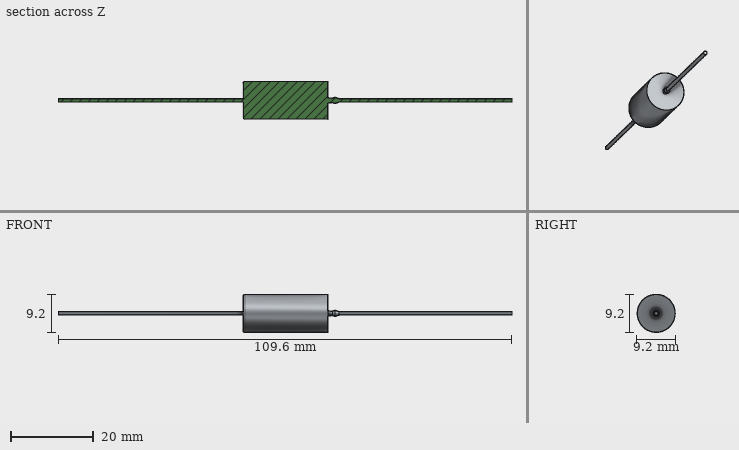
import cadquery as cq

overall_length = 109.6
lead_radius = 0.4

body_radius = 4.6
body_start = -10.2
body_end = 10.3
rim_rounding = 0.4

bead_radius = 0.8
flare_length = 0.7
taper_length = 1.0
neck_root_radius = 0.7
neck_tip_radius = 0.5
neck_length = 1.1


def make_rod(radius, start, end):
    """Cylinder along X, centred on the X axis."""
    return cq.Workplane("YZ", origin=(start, 0, 0)).circle(radius).extrude(end - start)


def make_body():
    body = make_rod(body_radius, body_start, body_end)
    return body.faces("<X").edges().fillet(rim_rounding)


def make_lead():
    return make_rod(lead_radius, -overall_length / 2, overall_length / 2)


def make_bead():
    """Bead that grows from a tapered neck to a sharp rim, then tapers back to the lead."""
    start = body_end + neck_length
    rim = start + flare_length
    end = rim + taper_length
    profile = [
        (body_end, 0),
        (body_end, neck_root_radius),
        (start, neck_tip_radius),
        (rim, bead_radius),
        (end, lead_radius),
        (end, 0),
    ]
    return cq.Workplane("XY").polyline(profile).close().revolve(360, (0, 0, 0), (1, 0, 0))


result = make_body().union(make_lead()).union(make_bead())